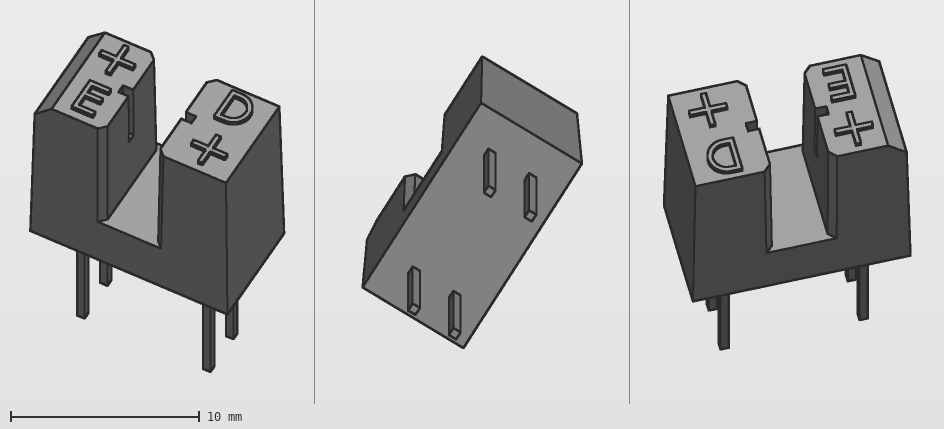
import cadquery as cq
import math

body_length = 11.9
body_depth = 6.3
body_height = 10.8
draft_angle = 1.0
corner_chamfer = 1.0

slot_floor = 3.1
slot_floor_half_width = 1.52
slot_draft_angle = 0.5
slot_flare = 0.4
cut_overrun = 0.19

notch_reach = 2.2
notch_width = 0.5
notch_height = 3.8

lead_length = 7.8
lead_size = 0.45
lead_pitch_x = 7.6
lead_pitch_y = 2.54

mark_height = 18.8 - body_height - lead_length
mark_size = 2.03
mark_stroke = 0.28
plus_centers = [(-3.25, 1.55), (3.95, -1.49)]
e_corner = (-3.84, -2.45)
e_width = 1.28
e_middle_width = 1.2
e_middle_height = 0.98
d_corner = (3.1, 0.58)
d_straight = 0.62

draft_slope = math.tan(math.radians(draft_angle))
slot_slope = math.tan(math.radians(slot_draft_angle))


def make_body():
    """Drafted block with one bevelled top edge."""
    block = cq.Workplane("XY").rect(body_length, body_depth).extrude(body_height, taper=draft_angle)
    top_left = -body_length / 2 + body_height * draft_slope
    bevel = (
        cq.Workplane("XZ")
        .moveTo(top_left + corner_chamfer, body_height)
        .lineTo(top_left - corner_chamfer, body_height)
        .lineTo(top_left - corner_chamfer, body_height - 2 * corner_chamfer)
        .close()
        .extrude(body_depth / 2, both=True)
    )
    return block.cut(bevel)


def slot_outline(z):
    """Slot section at height z, flared at 45 degrees where it meets the drafted faces."""
    half_width = slot_floor_half_width + (z - slot_floor) * slot_slope
    half_depth = body_depth / 2 - z * draft_slope
    flare_start = half_depth - slot_flare
    mouth_width = half_width + slot_flare + cut_overrun
    mouth_depth = half_depth + cut_overrun
    return [
        (half_width, -flare_start),
        (half_width, flare_start),
        (mouth_width, mouth_depth),
        (-mouth_width, mouth_depth),
        (-half_width, flare_start),
        (-half_width, -flare_start),
        (-mouth_width, -mouth_depth),
        (mouth_width, -mouth_depth),
    ]


def make_slot():
    """Drafted opening between the two towers."""
    return (
        cq.Workplane("XY", origin=(0, 0, slot_floor))
        .polyline(slot_outline(slot_floor))
        .close()
        .workplane(offset=body_height - slot_floor)
        .polyline(slot_outline(body_height))
        .close()
        .loft(ruled=True)
    )


def make_notches():
    """Facing notches in both towers, cut by one bar across the slot."""
    return (
        cq.Workplane("XY", origin=(0, 0, body_height - notch_height))
        .rect(2 * notch_reach, notch_width)
        .extrude(notch_height)
    )


def make_leads():
    """Four square leads below the body."""
    return (
        cq.Workplane("XY")
        .rect(lead_pitch_x, lead_pitch_y, forConstruction=True)
        .vertices()
        .rect(lead_size, lead_size)
        .extrude(-lead_length)
    )


def top_plane(corner=(0, 0)):
    """Workplane on top of the towers with its origin at the given corner."""
    return cq.Workplane("XY", origin=(corner[0], corner[1], body_height))


def make_plus_marks():
    """Raised plus signs, one on each tower."""
    sites = top_plane().pushPoints(plus_centers)
    across = sites.rect(mark_size, mark_stroke).extrude(mark_height)
    upright = sites.rect(mark_stroke, mark_size).extrude(mark_height)
    return across.union(upright)


def make_e_mark():
    """Raised E made of an upright and three bars."""
    mark = top_plane(e_corner).rect(mark_stroke, mark_size, centered=False).extrude(mark_height)
    bars = [(0, e_width), (e_middle_height, e_middle_width), (mark_size - mark_stroke, e_width)]
    for bar_height, bar_width in bars:
        bar_corner = (e_corner[0], e_corner[1] + bar_height)
        bar = top_plane(bar_corner).rect(bar_width, mark_stroke, centered=False).extrude(mark_height)
        mark = mark.union(bar)
    return mark


def d_shape(inset):
    """Solid D outline, moved inwards by inset on all sides."""
    radius = mark_size / 2 - inset
    return (
        top_plane(d_corner)
        .moveTo(inset, inset)
        .lineTo(d_straight, inset)
        .threePointArc((d_straight + radius, mark_size / 2), (d_straight, mark_size - inset))
        .lineTo(inset, mark_size - inset)
        .close()
        .extrude(mark_height)
    )


def make_d_mark():
    """Raised hollow D."""
    return d_shape(0).cut(d_shape(mark_stroke))


result = (
    make_body()
    .cut(make_slot())
    .cut(make_notches())
    .union(make_leads())
    .union(make_plus_marks())
    .union(make_e_mark())
    .union(make_d_mark())
)